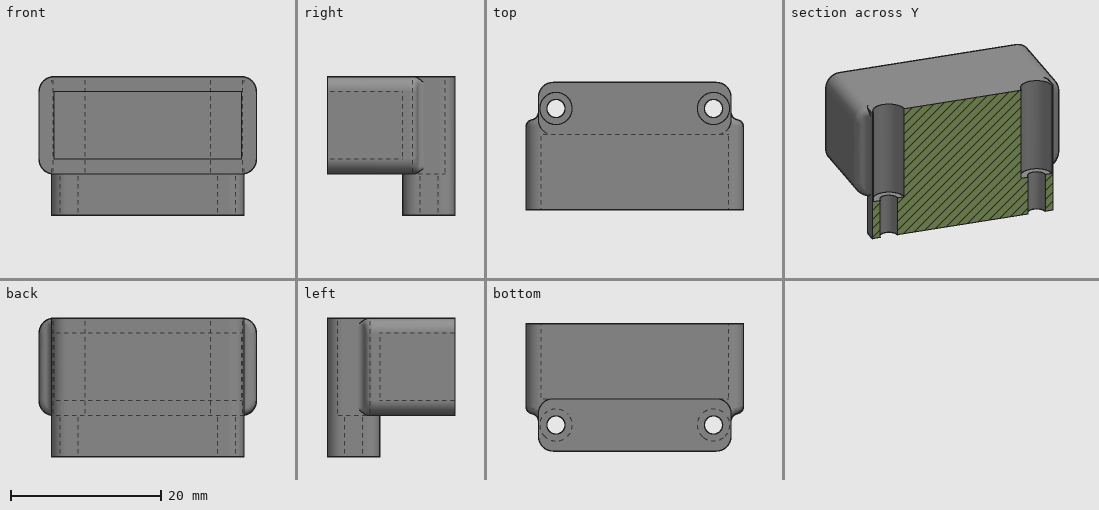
import cadquery as cq
import math

opening_width = 25.0
opening_height = 9.0
wall = 2.0
cavity_depth = 10.0
sleeve_width = opening_width + 2 * wall
sleeve_height = opening_height + 2 * wall
sleeve_depth = cavity_depth + wall

block_width = 25.7
block_depth = 7.0
foot_height = 5.5
block_front = cavity_depth
block_back = block_front + block_depth
total_height = foot_height + sleeve_height

corner_radius = 2.0
blend_radius = 1.0

screw_diameter = 2.4
head_diameter = 4.3
screw_spacing = 21.0
screw_y = (block_front + block_back) / 2
head_seat_height = foot_height

sleeve_mid_height = foot_height + sleeve_height / 2
edge_search_margin = 0.1


def box_along_y(width, height, depth):
    """Box centred on the sleeve axis, running back from the front face."""
    return cq.Workplane("XY").box(width, depth, height, centered=(True, False, True)).translate(
        (0, 0, sleeve_mid_height)
    )


def make_sleeve():
    """Rounded sleeve whose back shoulders sweep up into the sides of the block.

    The plan outline steps in at each shoulder through a concave arc; the
    convex edges left along that step are then rounded with the same radius.
    """
    half_sleeve = sleeve_width / 2
    half_block = block_width / 2
    blend_end_x = half_block + blend_radius
    blend_end_y = sleeve_depth + blend_radius
    tongue_back = block_back - corner_radius
    arc_offset = blend_radius * (1 - math.sqrt(0.5))
    arc_mid = (half_block + arc_offset, sleeve_depth + arc_offset)

    plan = (
        cq.Workplane("XY")
        .moveTo(0, 0)
        .lineTo(half_sleeve, 0)
        .lineTo(half_sleeve, sleeve_depth)
        .lineTo(blend_end_x, sleeve_depth)
        .threePointArc(arc_mid, (half_block, blend_end_y))
        .lineTo(half_block, tongue_back)
        .lineTo(0, tongue_back)
        .mirrorY()
        .extrude(total_height)
    )
    envelope = box_along_y(sleeve_width, sleeve_height, tongue_back)
    envelope = envelope.edges("|Y").fillet(corner_radius)
    outer_edges = upright_edges_near(half_sleeve, sleeve_depth)
    return plan.intersect(envelope).edges(outer_edges).fillet(blend_radius)


def make_block():
    block = cq.Workplane("XY").box(block_width, block_depth, total_height, centered=(True, False, False))
    return block.edges("|Z").fillet(corner_radius).translate((0, block_front, 0))


def upright_edges_near(x, y):
    """Selector for the upright edges at (x, y) on either side of the part."""
    m = edge_search_margin
    right = cq.selectors.BoxSelector((x - m, y - m, 0), (x + m, y + m, total_height))
    left = cq.selectors.BoxSelector((-x - m, y - m, 0), (-x + m, y + m, total_height))
    return right + left


def cut_screw_holes(body):
    head_depth = total_height - head_seat_height
    for x in (-screw_spacing / 2, screw_spacing / 2):
        hole = cq.Workplane("XY").center(x, screw_y).circle(screw_diameter / 2).extrude(total_height)
        head = cq.Workplane("XY", origin=(x, screw_y, head_seat_height)).circle(head_diameter / 2)
        body = body.cut(hole).cut(head.extrude(head_depth))
    return body


body = make_sleeve().union(make_block())
body = body.cut(box_along_y(opening_width, opening_height, cavity_depth))
result = cut_screw_holes(body)